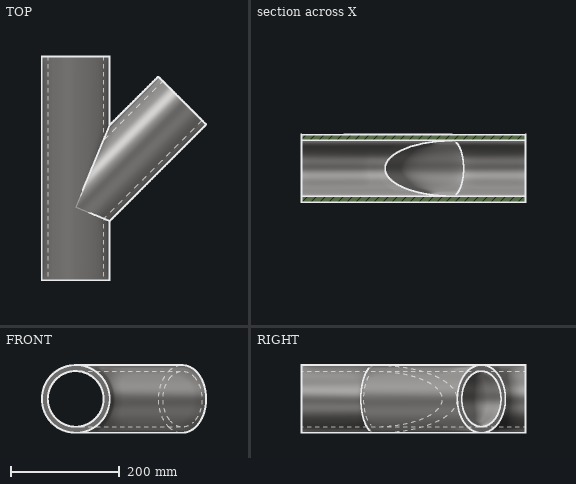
import cadquery as cq
import math

OUTER_DIAMETER = 125.0
WALL = 11.4
RUN_LENGTH = 412.0
JUNCTION_FROM_END = 135.0
BRANCH_LENGTH = 277.0
BRANCH_ANGLE = 45.0

outer_radius = OUTER_DIAMETER / 2
inner_radius = outer_radius - WALL
branch_angle_rad = math.radians(BRANCH_ANGLE)

junction = cq.Vector(0, 0, 0)
run_start = cq.Vector(0, -JUNCTION_FROM_END, 0)
run_direction = cq.Vector(0, 1, 0)
branch_direction = cq.Vector(math.sin(branch_angle_rad), math.cos(branch_angle_rad), 0)


def run_cylinder(radius):
    """Cylinder along the full length of the straight run."""
    return cq.Workplane(cq.Solid.makeCylinder(radius, RUN_LENGTH, run_start, run_direction))


def branch_cylinder(radius):
    """Cylinder from the crossing of the axes to the branch end; its inner end lies inside the run."""
    return cq.Workplane(cq.Solid.makeCylinder(radius, BRANCH_LENGTH, junction, branch_direction))


outer_body = run_cylinder(outer_radius).union(branch_cylinder(outer_radius))
result = outer_body.cut(run_cylinder(inner_radius)).cut(branch_cylinder(inner_radius))